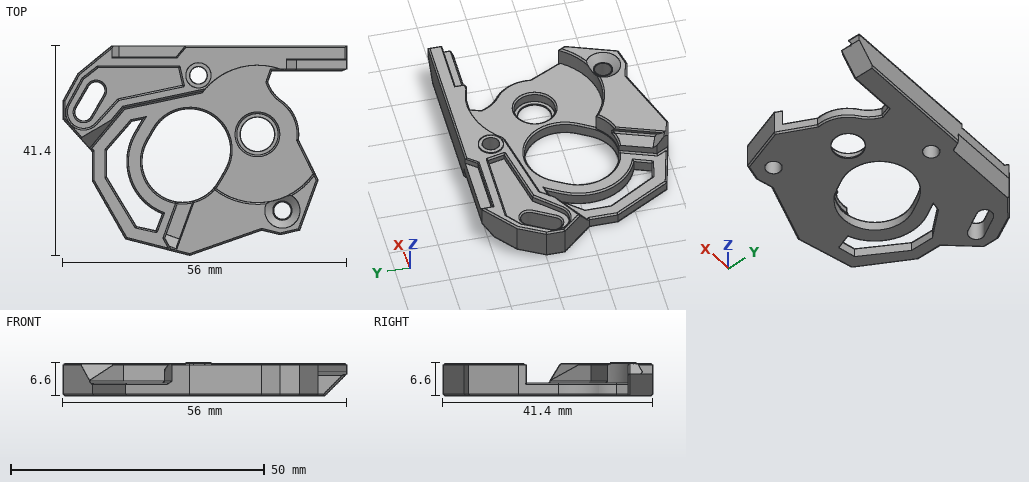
import cadquery as cq
import math

FLOOR_Z = 2.6
TOP_Z = 6.4
BOSS_Z = 6.6
LEDGE_Z = 4.35
POCKET_Z = 5.0
HOLE_LIP = 0.35
BEVEL = 0.35
OVER = 11.2

LENGTH = 56.0
WIDTH = 41.4
RAIL_FRONT = 36.45
SLANT = 60.0
CHANNEL_ANGLE = 70.0

BORE_CENTER = (24.3, 19.7)
BORE_RADIUS = 8.05
BORE_TRAVEL = 2.7
RING_RADIUS = BORE_RADIUS + 3.0

BIG_HOLE = (38.35, 23.9)
BIG_HOLE_DIAMETER = 6.8
COUNTERBORE_DIAMETER = 8.2
SWEEP_RADIUS = 13.65
CORNER_RADIUS = 13.5
LOBE_RADIUS = 8.2
SMALL_DIAMETER = 3.4
BOSS_HOLE = (26.7, 35.55)
BOSS_DIAMETER = 5.0
SINK_HOLE = (43.3, 8.85)
SINK_DIAMETER = 6.95
SINK_FOOT = 3.8
SINK_DEPTH = 1.3

SLOT_LOW = (4.05, 28.3)
SLOT_RADIUS = 1.75
SLOT_TRAVEL = 4.9
POCKET_RADIUS = 3.2

UNDERCUT = 0.8
LEDGE_BEVEL = 0.4
RAMP = TOP_Z - LEDGE_Z
RAIL_CHANNEL = (44.1, 38.6)
STEP_CHANNEL = (22.25, 1.35)
STEP_WIDTH = 4.5
LIP = 0.2


def polar(center, radius, degrees):
    angle = math.radians(degrees)
    return (center[0] + radius * math.cos(angle), center[1] + radius * math.sin(angle))


def at(z):
    return cq.Workplane("XY").workplane(offset=z)


def cylinder(center, diameter, z_low, z_high):
    return at(z_low).center(*center).circle(diameter / 2).extrude(z_high - z_low)


def slot_wire(z, center, radius, travel):
    return at(z).center(*center).slot2D(travel + 2 * radius, 2 * radius, SLANT)


def bevelled_slot(center, radius, travel, z_top):
    """Through slot cutter whose rim at z_top is chamfered."""
    shaft = slot_wire(-OVER, center, radius, travel).extrude(2 * OVER)
    rim = slot_wire(z_top - BEVEL, center, radius, travel).extrude(BEVEL, taper=-45)
    return shaft.union(rim)


def bevelled_polygon(points, height):
    """Upright block with a chamfered top edge."""
    block = at(0).polyline(points).close().extrude(height)
    return block.faces(">Z").edges().chamfer(BEVEL)


def skirt(points):
    """45 degree fillet strip where a block stands on the floor."""
    base = at(FLOOR_Z - BEVEL).polyline(points).close().offset2D(2 * BEVEL, "intersection")
    return base.extrude(2 * BEVEL, taper=45)


def outline_prism(height):
    lobe_start = polar(BIG_HOLE, LOBE_RADIUS, -8)
    lobe_end = polar(BIG_HOLE, LOBE_RADIUS, 57)
    wire = (
        at(0)
        .moveTo(0, 30.6)
        .lineTo(0, 26.9)
        .lineTo(5.75, 20.5)
        .lineTo(5.75, 14.7)
        .lineTo(12.3, 3.25)
        .lineTo(25.0, 0)
        .lineTo(39.2, 5.0)
        .lineTo(42.85, 4.1)
        .lineTo(46.7, 5.0)
        .lineTo(50.35, 14.9)
        .lineTo(*lobe_start)
        .threePointArc(polar(BIG_HOLE, LOBE_RADIUS, 30), lobe_end)
        .threePointArc((41.3, 32.4), (40.4, 34.2))
        .lineTo(41.15, RAIL_FRONT)
        .lineTo(LENGTH, RAIL_FRONT)
        .lineTo(LENGTH, WIDTH)
        .lineTo(9.65, WIDTH)
        .lineTo(2.9, 35.9)
        .close()
    )
    prism = wire.extrude(height)
    return prism.faces("<Z or >Z").edges().chamfer(BEVEL)


full = outline_prism(TOP_Z)

WINDOW = [(8.55, 20.8), (13.55, 26.5), (17.35, 27.3), (22.4, 16.8), (22.6, 16.25), (18.3, 4.9), (14.45, 5.7), (8.55, 15.45)]


def window_cutter():
    through = at(0).polyline(WINDOW).close().extrude(FLOOR_Z)
    through = through.cut(slot_wire(0, BORE_CENTER, RING_RADIUS, BORE_TRAVEL).extrude(FLOOR_Z))
    low = FLOOR_Z - BEVEL
    rim = at(low).polyline(WINDOW).close().extrude(BEVEL, taper=-45)
    rim = rim.cut(slot_wire(low, BORE_CENTER, RING_RADIUS, BORE_TRAVEL).extrude(BEVEL, taper=45))
    return through.union(rim)


def bore(z_top):
    return bevelled_slot(BORE_CENTER, BORE_RADIUS, BORE_TRAVEL, z_top)


plate = outline_prism(FLOOR_Z).cut(window_cutter())

RIDGE = [(2.6, 18.05), (11.9, 29.15), (42, 35.5), (61.6, 35.5), (61.6, 47.6), (-5.6, 47.6), (-5.6, 18.05)]
FACET_START = (10.0, 27.05)
FACET_ANGLE = 30.4
FACET_RUN = 3.0


def facet_cutter():
    """Sloping cut at the left end of the ridge."""
    end = polar(FACET_START, 1.7, FACET_ANGLE)
    frame = cq.Plane(
        origin=(end[0], end[1], 0),
        xDir=(math.sin(math.radians(FACET_ANGLE)), -math.cos(math.radians(FACET_ANGLE)), 0),
        normal=(-math.cos(math.radians(FACET_ANGLE)), -math.sin(math.radians(FACET_ANGLE)), 0),
    )
    profile = [(0, TOP_Z), (FACET_RUN, FLOOR_Z), (OVER, FLOOR_Z), (OVER, TOP_Z)]
    return cq.Workplane(frame).polyline(profile).close().extrude(3 * OVER)


ridge = full.intersect(bevelled_polygon(RIDGE, TOP_Z)).cut(facet_cutter())
ridge_foot = full.intersect(skirt(RIDGE))
sweep = cylinder(BIG_HOLE, 2 * SWEEP_RADIUS, 0, TOP_Z)
ridge = ridge.union(ridge_foot).cut(sweep)

STEP_CORNER = (20.05, 3.4)
STEP = [(21.45, 0.9), STEP_CORNER, polar(STEP_CORNER, 13.45, CHANNEL_ANGLE), (61.6, 22.4), (61.6, -5.6), (21.45, -5.6)]

corner = full.intersect(at(0).polyline(STEP).close().extrude(TOP_Z))
corner_sweep = cylinder(BIG_HOLE, 2 * CORNER_RADIUS, 0, TOP_Z).union(
    at(TOP_Z - BEVEL).center(*BIG_HOLE).circle(CORNER_RADIUS).extrude(BEVEL, taper=-45)
)


def channel(start, degrees, side, width, length):
    """Dovetail channel: ramp at its start, undercut wall on the given side (1 left, -1 right)."""
    base = LEDGE_Z
    profile = [
        (-width, base),
        (UNDERCUT - BEVEL, base),
        (UNDERCUT, base + BEVEL),
        (0, TOP_Z - BEVEL),
        (LIP, TOP_Z),
        (-width, TOP_Z),
    ]
    cutter = cq.Workplane("YZ").polyline([(side * u, z) for u, z in profile]).close().extrude(length)
    ramp = (
        cq.Workplane("XZ")
        .polyline([(0, TOP_Z), (RAMP, LEDGE_Z), (0, LEDGE_Z)])
        .close()
        .extrude(OVER, both=True)
    )
    cutter = cutter.cut(ramp)
    return cutter.rotate((0, 0, 0), (0, 0, 1), degrees).translate((start[0], start[1], 0))


step_strip = cq.Workplane("XY").rect(OVER, STEP_WIDTH).extrude(LEDGE_Z)
step_strip = step_strip.translate((OVER, STEP_WIDTH / 2 - UNDERCUT, 0))
step_strip = step_strip.rotate((0, 0, 0), (0, 0, 1), CHANNEL_ANGLE).translate(STEP_CHANNEL + (0,))

corner = corner.cut(channel(STEP_CHANNEL, CHANNEL_ANGLE, -1, OVER, 2 * OVER)).cut(bore(TOP_Z))
corner = corner.cut(bore(LEDGE_Z).intersect(step_strip))
corner = corner.union(full.intersect(skirt(STEP))).cut(corner_sweep)
ridge = ridge.cut(channel(RAIL_CHANNEL, 0, 1, OVER / 2, 2 * OVER))

result = plate.union(ridge).union(corner).cut(bore(FLOOR_Z))


def pocket_wire(z):
    right = polar(SLOT_LOW, POCKET_RADIUS, -42)
    left = polar(SLOT_LOW, POCKET_RADIUS, 150)
    return (
        at(z)
        .moveTo(*right)
        .lineTo(10.8, 30.9)
        .lineTo(23.6, 33.6)
        .lineTo(22.8, 37.1)
        .lineTo(6.9, 37.1)
        .lineTo(4.0, 34.8)
        .lineTo(*left)
        .threePointArc(polar(SLOT_LOW, POCKET_RADIUS, -120), right)
        .close()
    )


result = result.cut(pocket_wire(POCKET_Z).extrude(OVER))
result = result.cut(pocket_wire(TOP_Z - BEVEL).extrude(BEVEL, taper=-45))
slot_center = polar(SLOT_LOW, SLOT_TRAVEL / 2, SLANT)
result = result.cut(bevelled_slot(slot_center, SLOT_RADIUS, SLOT_TRAVEL, POCKET_Z))

RECESS = [(9.65, 47.6), (9.65, 39.2), (22.35, 39.2), (29.35, 47.6)]
drop = TOP_Z - POCKET_Z
recess = at(POCKET_Z).polyline(RECESS).close().extrude(drop)
recess = recess.union(at(TOP_Z - LIP).polyline(RECESS).close().extrude(LIP, taper=-45))
recess_ramp = (
    cq.Workplane("XZ", origin=(9.65, 0, 0))
    .polyline([(-0.55, TOP_Z), (0, TOP_Z), (drop, POCKET_Z), (-0.55, POCKET_Z)])
    .close()
    .extrude(-2 * WIDTH)
)
result = result.cut(recess.cut(recess_ramp))

UNDER = 2.25
under = (
    cq.Workplane("YZ")
    .polyline([(WIDTH - UNDER, 0), (WIDTH, UNDER), (WIDTH, 0)])
    .close()
    .extrude(LENGTH)
    .intersect(at(0).polyline([(-2.8, 47.6), (-2.8, 33.6), (21.3, 33.6), (28.55, 47.6)]).close().extrude(UNDER))
)
result = result.cut(under)

end_cut = (
    cq.Workplane("XZ")
    .polyline([(LENGTH, LEDGE_Z), (LENGTH - LEDGE_Z, 0), (LENGTH, 0)])
    .close()
    .extrude(-2 * WIDTH)
)
result = result.cut(end_cut)


def front_bevel(start, end):
    """Triangular strip along a front edge of the rail, given by (X, Z) points with material on the right."""
    run = end[0] - start[0]
    rise = end[1] - start[1]
    frame = cq.Plane(origin=(start[0], RAIL_FRONT, start[1]), xDir=(-rise, 0, run), normal=(run, 0, rise))
    strip = cq.Workplane(frame).polyline([(-LEDGE_BEVEL, 0), (0, -LEDGE_BEVEL), (0, LEDGE_BEVEL)])
    return strip.close().extrude(math.hypot(run, rise))


ramp_foot = (RAIL_CHANNEL[0] + RAMP, LEDGE_Z)
ledge_tip = (LENGTH, LEDGE_Z)
for start, end in (
    ((RAIL_CHANNEL[0], TOP_Z), ramp_foot),
    (ramp_foot, ledge_tip),
    (ledge_tip, (LENGTH - LEDGE_Z, 0)),
):
    result = result.cut(front_bevel(start, end))

result = result.union(cylinder(BOSS_HOLE, BOSS_DIAMETER, POCKET_Z, BOSS_Z))
result = result.cut(cylinder(BOSS_HOLE, SMALL_DIAMETER, 0, BOSS_Z))
result = result.cut(cylinder(BIG_HOLE, BIG_HOLE_DIAMETER, 0, FLOOR_Z))
result = result.cut(cylinder(BIG_HOLE, COUNTERBORE_DIAMETER, HOLE_LIP, FLOOR_Z))
result = result.cut(
    at(FLOOR_Z - BEVEL).center(*BIG_HOLE).circle(COUNTERBORE_DIAMETER / 2).extrude(BEVEL, taper=-45)
)
result = result.cut(cylinder(SINK_HOLE, SMALL_DIAMETER, 0, TOP_Z))
sink_angle = math.degrees(math.atan((SINK_DIAMETER - SINK_FOOT) / 2 / SINK_DEPTH))
sink = at(TOP_Z - SINK_DEPTH).center(*SINK_HOLE).circle(SINK_FOOT / 2)
result = result.cut(sink.extrude(SINK_DEPTH, taper=-sink_angle))